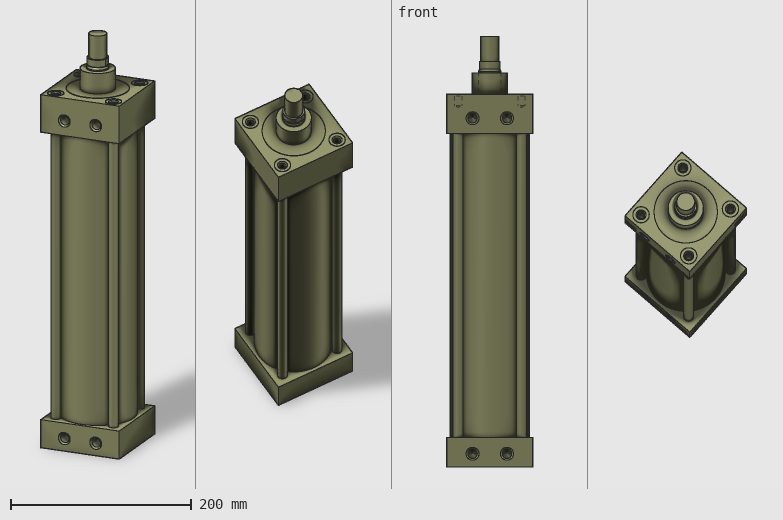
import cadquery as cq
import math

total_height = 476.2
cap_side = 95.2

rear_cap_height = 33.0
front_cap_bottom = 368.5
front_cap_top = 412.5
tube_diameter = 87.5

tie_rod_spacing = 70.0
tie_rod_diameter = 11.0
seat_diameter = 18.0
seat_depth = 0.5
socket_mouth_diameter = 11.0
socket_diameter = 8.0
socket_depth = 12.0

gland_diameter = 70.0
gland_depth = 0.5
collar_diameter = 39.0
collar_top = 436.0

port_spacing = 38.0
port_mouth_diameter = 14.5
port_diameter = 10.5
port_depth = 19.0
rear_port_height = 15.0
front_port_height = 386.0

drill_point_angle = 118.0

rod_diameter = 25.2
rod_insertion = collar_top - front_cap_top
rod_shoulder = 437.0
neck_diameter = 22.0
wrench_diameter = 24.5
wrench_bottom = 440.0
wrench_top = 448.5
flats_width = 23.0
flats_bottom = 439.0
stud_diameter = 20.0


def cylinder(diameter, bottom, top):
    """Upright cylinder on the Z axis between two heights."""
    return cq.Workplane("XY").workplane(offset=bottom).circle(diameter / 2).extrude(top - bottom)


def cap(bottom, top):
    """Square end cap between two heights."""
    return cq.Workplane("XY").workplane(offset=bottom).rect(cap_side, cap_side).extrude(top - bottom)


def drilled_hole(mouth_diameter, diameter, depth):
    """Cutter that runs down from the origin: 45 degree mouth chamfer, bore and conical drill point."""
    mouth_radius = mouth_diameter / 2
    radius = diameter / 2
    chamfer = mouth_radius - radius
    point_length = radius / math.tan(math.radians(drill_point_angle / 2))
    return (
        cq.Workplane("XZ")
        .moveTo(0, 0)
        .lineTo(mouth_radius, 0)
        .lineTo(radius, -chamfer)
        .lineTo(radius, -depth)
        .lineTo(0, -depth - point_length)
        .close()
        .revolve(360, (0, 0, 0), (0, 1, 0))
    )


def make_housing():
    housing = cap(0, rear_cap_height).union(cap(front_cap_bottom, front_cap_top))
    housing = housing.union(cylinder(tube_diameter, rear_cap_height, front_cap_bottom))

    gland_floor = front_cap_top - gland_depth
    housing = housing.cut(cylinder(gland_diameter, gland_floor, front_cap_top))
    housing = housing.union(cylinder(collar_diameter, gland_floor, collar_top))

    seat_floor = front_cap_top - seat_depth
    tie_rod = cylinder(tie_rod_diameter, rear_cap_height, front_cap_bottom)
    seat = cylinder(seat_diameter, seat_floor, front_cap_top)
    socket = drilled_hole(socket_mouth_diameter, socket_diameter, socket_depth)
    socket = socket.translate((0, 0, seat_floor))
    for x_side in (-1, 1):
        for y_side in (-1, 1):
            corner = (x_side * tie_rod_spacing / 2, y_side * tie_rod_spacing / 2, 0)
            housing = housing.union(tie_rod.translate(corner))
            housing = housing.cut(seat.translate(corner)).cut(socket.translate(corner))

    port = drilled_hole(port_mouth_diameter, port_diameter, port_depth)
    port = port.rotate((0, 0, 0), (1, 0, 0), 90)
    for height in (rear_port_height, front_port_height):
        for x_side in (-1, 1):
            housing = housing.cut(port.translate((x_side * port_spacing / 2, -cap_side / 2, height)))

    return housing.cut(cylinder(rod_diameter, collar_top - rod_insertion, collar_top))


def make_piston_rod():
    rod_bottom = collar_top - rod_insertion
    rod = (
        cq.Workplane("XZ")
        .moveTo(0, rod_bottom)
        .lineTo(rod_diameter / 2, rod_bottom)
        .lineTo(rod_diameter / 2, rod_shoulder)
        .lineTo(neck_diameter / 2, wrench_bottom)
        .lineTo(wrench_diameter / 2, wrench_bottom)
        .lineTo(wrench_diameter / 2, wrench_top)
        .lineTo(stud_diameter / 2, wrench_top)
        .lineTo(stud_diameter / 2, total_height)
        .lineTo(0, total_height)
        .close()
        .revolve(360, (0, 0, 0), (0, 1, 0))
    )

    flats_height = wrench_top - flats_bottom
    flat_cutter = cq.Workplane("XY").rect(rod_diameter, rod_diameter).extrude(flats_height)
    cutter_offset = (flats_width + rod_diameter) / 2
    for x_side in (-1, 1):
        rod = rod.cut(flat_cutter.translate((x_side * cutter_offset, 0, flats_bottom)))
    return rod


housing = make_housing()
piston_rod = make_piston_rod()

result = cq.Compound.makeCompound([housing.val(), piston_rod.val()])